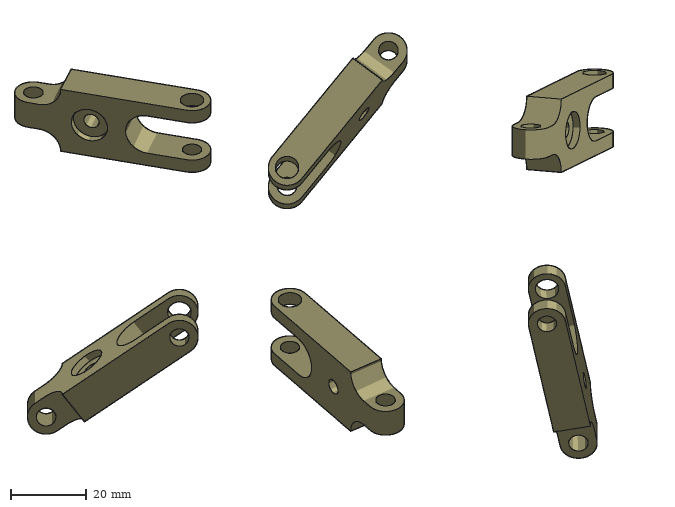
import cadquery as cq

length = 54.0
width = 10.0
height = 20.0

lug_height = 8.0
lug_hole_diameter = 5.2
shoulder_radius = (height - lug_height) / 2
body_start = 14.0

slot_height = 12.0
slot_radius = slot_height / 2
slot_bottom = 32.0
upper_hole_diameter = 6.2
lower_hole_diameter = 5.1

cross_hole_offset = 22.0
cross_hole_diameter = 4.2
counterbore_diameter = 10.0
counterbore_depth = 2.0

lug_tip = -length / 2
end_radius = width / 2
pin_x = length / 2 - end_radius
shoulder_x = lug_tip + body_start - shoulder_radius
slot_center_x = lug_tip + slot_bottom + slot_radius


def make_blank():
    """Bar with fully rounded ends, standing on its plan outline."""
    return cq.Workplane("XY").slot2D(length, width).extrude(height / 2, both=True)


def y_cylinder(x, z, radius):
    """Cylinder along Y that passes right through the part."""
    return cq.Workplane("XZ").center(x, z).circle(radius).extrude(width, both=True)


def z_hole(x, diameter, z_bottom, z_top):
    """Cutter for a vertical hole between two heights."""
    return (
        cq.Workplane("XY", origin=(x, 0, z_bottom))
        .circle(diameter / 2)
        .extrude(z_top - z_bottom)
    )


def shoulder_cutter(side):
    """Material removed above (side = 1) or below (side = -1) the lug."""
    block_length = shoulder_x - lug_tip
    block = cq.Workplane("XY").box(block_length, 2 * width, shoulder_radius).translate(
        (lug_tip + block_length / 2, 0, side * (height - shoulder_radius) / 2)
    )
    return block.union(y_cylinder(shoulder_x, side * height / 2, shoulder_radius))


def fork_slot():
    """Round-bottomed slot, open at the +X end."""
    slot_length = length / 2 - slot_center_x
    block = cq.Workplane("XY").box(slot_length, 2 * width, slot_height).translate(
        (slot_center_x + slot_length / 2, 0, 0)
    )
    return block.union(y_cylinder(slot_center_x, 0, slot_radius))


def counterbore():
    """Shallow round recess in the -Y face."""
    return (
        cq.Workplane("XZ", origin=(lug_tip + cross_hole_offset, -width / 2, 0))
        .circle(counterbore_diameter / 2)
        .extrude(-counterbore_depth)
    )


result = make_blank()
for side in (1, -1):
    result = result.cut(shoulder_cutter(side))
result = result.cut(fork_slot())

result = result.cut(z_hole(-pin_x, lug_hole_diameter, -height / 2, height / 2))
result = result.cut(z_hole(pin_x, upper_hole_diameter, 0, height / 2))
result = result.cut(z_hole(pin_x, lower_hole_diameter, -height / 2, 0))

result = result.cut(y_cylinder(lug_tip + cross_hole_offset, 0, cross_hole_diameter / 2))
result = result.cut(counterbore())